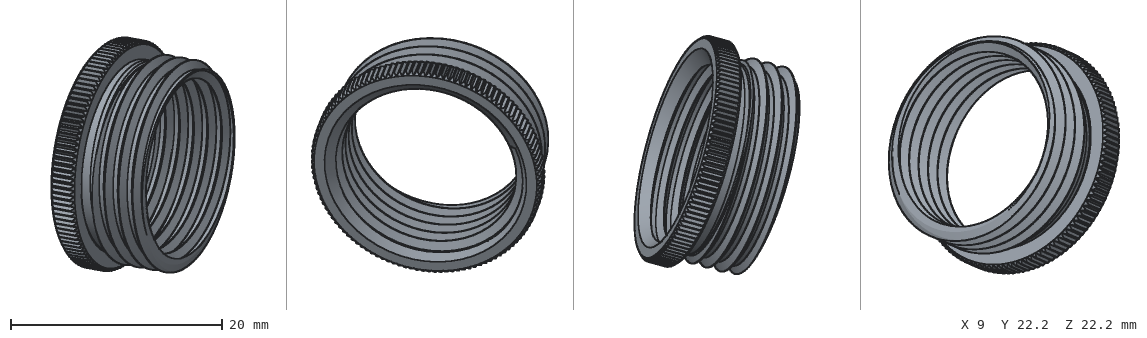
import cadquery as cq
import math

total_length = 9.0
head_length = 2.5
thread_start = 4.0
body_diameter = 18.71
bore_diameter = 17.0
bore_mouth_diameter = 19.55

knurl_count = 120
knurl_tip_radius = 11.095
knurl_root_radius = 10.77
knurl_tip_width = 0.1

pitch = 1.5
thread_depth = 0.8125
flank_angle = 30.0
crest_width = 0.1
external_crest_start = 3.4
external_start_angle = 156.0
end_bevel_length = 0.22
groove_start = 0.56
groove_start_angle = 247.6
groove_root_width = 0.46

body_radius = body_diameter / 2
bore_radius = bore_diameter / 2
mouth_radius = bore_mouth_diameter / 2
knurl_depth = knurl_tip_radius - knurl_root_radius
band_inner_radius = 10.4
seam_tolerance = 0.001
overlap = 0.02


def cylinder(radius, start, end):
    return cq.Workplane("XY").workplane(offset=start).circle(radius).extrude(end - start)


def helical_ridge(base_radius, tip_radius, tip_width, start, start_angle):
    """Trapezoid swept along a helix from `start` until it has passed the end of the ring."""
    turns = math.ceil((total_length - start) / pitch) + 1
    outward = math.copysign(1, tip_radius - base_radius)
    base_radius -= outward * overlap
    spread = abs(tip_radius - base_radius) * math.tan(math.radians(flank_angle))
    half_tip = tip_width / 2
    half_base = half_tip + spread
    helix = cq.Wire.makeHelix(pitch, pitch * turns, base_radius)
    profile = cq.Workplane("XZ").polyline([
        (base_radius, -half_base),
        (tip_radius, -half_tip),
        (tip_radius, half_tip),
        (base_radius, half_base),
    ]).close()
    ridge = profile.sweep(cq.Workplane(obj=helix), isFrenet=True)
    return ridge.rotate((0, 0, 0), (0, 0, 1), start_angle).translate((0, 0, start))


def knurled_head():
    head = cylinder(knurl_tip_radius, 0, head_length).edges().chamfer(knurl_depth)
    step = 2 * math.pi / knurl_count
    half_tip_angle = knurl_tip_width / 2 / knurl_tip_radius
    points = []
    for index in range(knurl_count):
        root_angle = index * step
        points.append((knurl_root_radius, root_angle))
        points.append((knurl_tip_radius, root_angle + step / 2 - half_tip_angle))
        points.append((knurl_tip_radius, root_angle + step / 2 + half_tip_angle))
    outline = [(radius * math.cos(angle), radius * math.sin(angle)) for radius, angle in points]
    teeth = cq.Workplane("XY").polyline(outline).close().extrude(head_length)
    return head.intersect(teeth)


def external_thread():
    ridge = helical_ridge(body_radius, body_radius + thread_depth, crest_width,
                          external_crest_start, external_start_angle)
    threaded_length = cylinder(body_radius + 2 * thread_depth, thread_start, total_length)
    threaded_length = threaded_length.faces(">Z").chamfer(2 * end_bevel_length, 2 * thread_depth)
    return ridge.intersect(threaded_length)


def bore_groove():
    return helical_ridge(bore_radius, bore_radius + thread_depth, groove_root_width,
                         groove_start, groove_start_angle)


def bore_mouth():
    depth = mouth_radius - bore_radius
    return cq.Workplane("XY").add(cq.Solid.makeCone(mouth_radius, bore_radius, depth))


def threaded_core():
    core = cylinder(body_radius, 0, total_length)
    core = core.union(cylinder(band_inner_radius, 0, head_length))
    core = core.union(external_thread())
    core = core.cut(cylinder(bore_radius, 0, total_length))
    core = core.cut(bore_mouth())
    return core.cut(bore_groove())


def faces_off_seam(part):
    """All faces of a part except the cylinder where core and knurled band meet."""
    faces = []
    for face in part.faces().vals():
        box = face.BoundingBox()
        on_seam = face.geomType() == "CYLINDER" and abs(box.xmax - band_inner_radius) < seam_tolerance
        if not on_seam:
            faces.append(face)
    return faces


band = knurled_head().cut(cylinder(band_inner_radius, 0, head_length))
skin = cq.Shell.makeShell(faces_off_seam(threaded_core()) + faces_off_seam(band))
ring = cq.Workplane("XY").add(cq.Solid.makeSolid(skin)).clean()

result = ring.rotate((0, 0, 0), (0, 1, 0), 90)